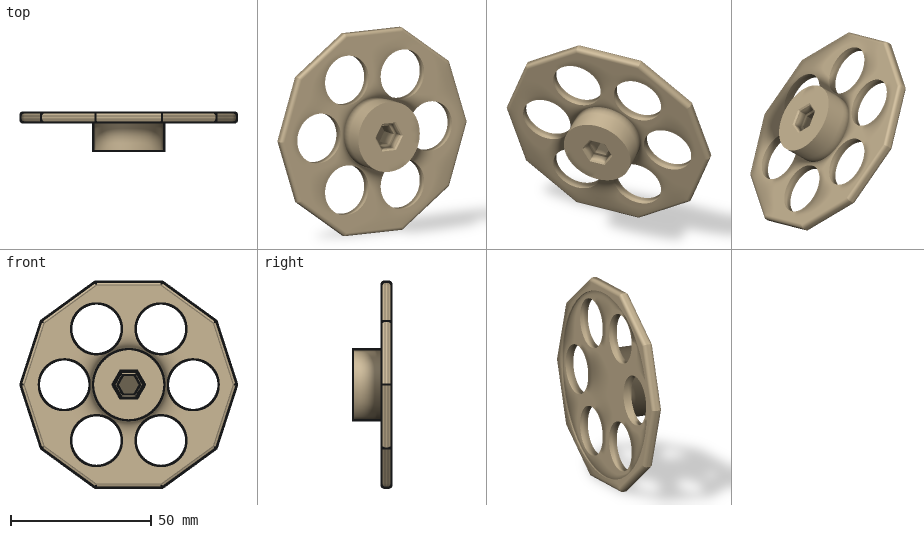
import cadquery as cq
import math

side_count = 10
plate_across_flats = 73.5
plate_across_corners = plate_across_flats / math.cos(math.pi / side_count)
plate_thickness = 3.7
rim_fillet = 1.27

recess_diameter = 68.0
recess_depth = 0.6

window_count = 6
window_diameter = 18.0
window_circle_diameter = 46.0

hub_diameter = 25.4
hub_length = 10.16

hex_sides = 6
outer_hex_across_flats = 9.0
outer_hex_depth = 3.5
mouth_chamfer = 0.5
mouth_across_flats = outer_hex_across_flats + 2 * mouth_chamfer
inner_hex_across_flats = 7.0
socket_depth = hub_length


def hex_across_corners(across_flats):
    """Corner-to-corner size of a regular hexagon."""
    return across_flats / math.cos(math.pi / hex_sides)


def sketch_plane(y):
    """XZ sketch plane at the given Y; extrusions run toward -Y."""
    return cq.Workplane("XZ", origin=(0, y, 0))


def make_plate():
    """Decagonal plate with rounded front and back outer edges."""
    blank = sketch_plane(plate_thickness).polygon(side_count, plate_across_corners).extrude(plate_thickness)
    return blank.faces("<Y or >Y").edges().fillet(rim_fillet)


def make_recess():
    return sketch_plane(plate_thickness).circle(recess_diameter / 2).extrude(recess_depth)


def make_windows():
    """Ring of equally spaced cylinders, the first one on the +X axis."""
    return (
        sketch_plane(plate_thickness)
        .polarArray(window_circle_diameter / 2, 0, 360, window_count)
        .circle(window_diameter / 2)
        .extrude(plate_thickness)
    )


def make_hub():
    return sketch_plane(0).circle(hub_diameter / 2).extrude(hub_length)


def hex_pocket(across_flats, depth):
    """Hexagonal prism reaching the given depth below the hub's end face."""
    return sketch_plane(depth - hub_length).polygon(hex_sides, hex_across_corners(across_flats)).extrude(depth)


def make_mouth():
    """Tapered hexagon that widens toward the hub's end face."""
    return (
        sketch_plane(mouth_chamfer - hub_length)
        .polygon(hex_sides, hex_across_corners(outer_hex_across_flats))
        .workplane(offset=mouth_chamfer)
        .polygon(hex_sides, hex_across_corners(mouth_across_flats))
        .loft(ruled=True)
    )


plate = make_plate().cut(make_recess()).cut(make_windows())
body = plate.union(make_hub())
body = body.cut(hex_pocket(outer_hex_across_flats, outer_hex_depth))
body = body.cut(hex_pocket(inner_hex_across_flats, socket_depth))
result = body.cut(make_mouth())